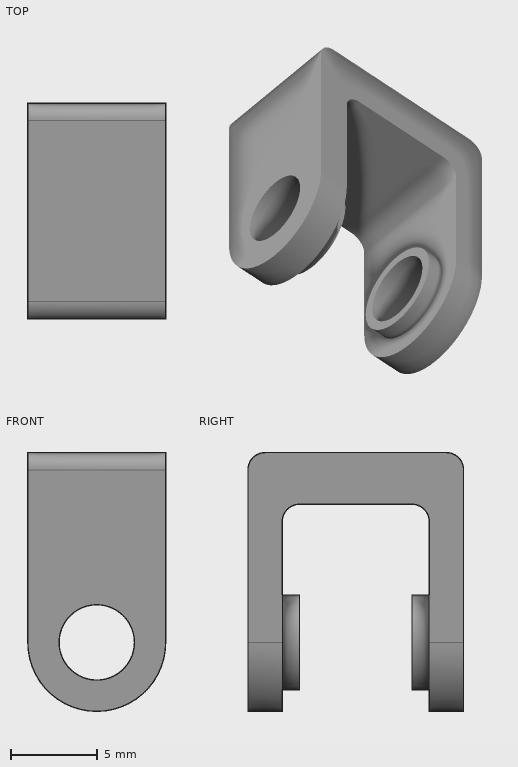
import cadquery as cq

width = 8.0
depth = 12.5
height = 15.0
arm_thickness = 2.0
bridge_thickness = 3.0
corner_radius = 1.0
hole_diameter = 4.35
boss_diameter = 5.5
boss_length = 1.0

end_radius = width / 2
bottom_z = -end_radius
top_z = bottom_z + height
bridge_bottom_z = top_z - bridge_thickness
gap = depth - 2 * arm_thickness
inner_face_y = gap / 2


def y_cylinder(diameter, start_y, length):
    """Cylinder on the pin axis, running from start_y towards +Y."""
    return (
        cq.Workplane("XZ", origin=(0, start_y, 0))
        .circle(diameter / 2)
        .extrude(-length)
    )


def make_side_profile_block():
    """Block with the rounded arm-end outline, extruded through the full depth."""
    return (
        cq.Workplane("XZ", origin=(0, -depth / 2, 0))
        .moveTo(-end_radius, 0)
        .lineTo(-end_radius, top_z)
        .lineTo(end_radius, top_z)
        .lineTo(end_radius, 0)
        .threePointArc((0, bottom_z), (-end_radius, 0))
        .close()
        .extrude(-depth)
        .edges("|X and >Z")
        .fillet(corner_radius)
    )


def make_gap():
    """Space between the arms, with rounded corners under the bridge."""
    gap_height = bridge_bottom_z - bottom_z
    return (
        cq.Workplane("XY", origin=(0, 0, bottom_z))
        .box(width, gap, gap_height, centered=(True, True, False))
        .edges("|X and >Z")
        .fillet(corner_radius)
    )


clevis = make_side_profile_block().cut(make_gap())

for boss_start_y in (-inner_face_y, inner_face_y - boss_length):
    clevis = clevis.union(y_cylinder(boss_diameter, boss_start_y, boss_length))

result = clevis.cut(y_cylinder(hole_diameter, -depth / 2, depth))